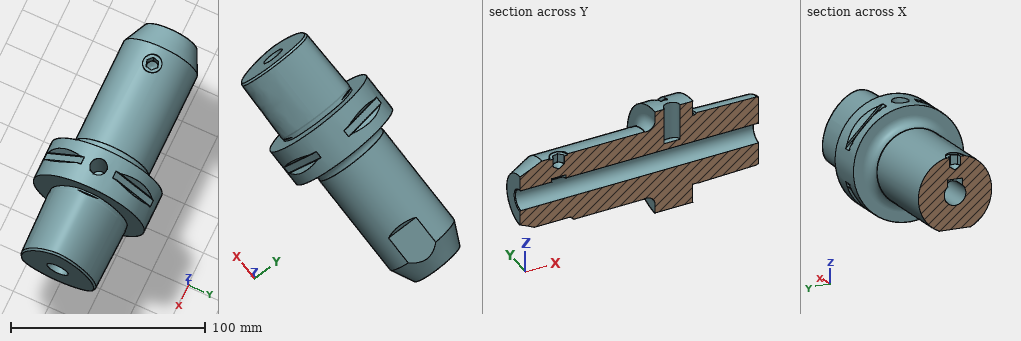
import cadquery as cq
import math

nose_cone_length = 12.6
body_length = 72.1
flange_start = 78.0
flange_width = 22.0
shank_length = 38.0
slot_plane_setback = 12.0
flange_end = flange_start + flange_width
slot_plane_x = flange_end - slot_plane_setback
total_length = flange_end + shank_length

nose_diameter = 30.0
body_diameter = 42.0
neck_diameter = 41.6
flange_diameter = 63.0
root_fillet_radius = 5.0

bore_diameter = 12.0
bore_mouth_diameter = 13.0

flat_z = -19.0
flat_end = 29.2

screw_x = 22.5
screw_diameter = 10.0
screw_head_z = 20.2
screw_tip_diameter = 8.1
screw_tip_z = 8.0
hex_sides = 6
hex_across_flats = 6.0
hex_rotation = 15.0
hex_depth = 5.0
hex_cone_height = 2.0

slot_count = 4
slot_floor_radius = 27.7
slot_floor_width = 4.0
slot_upright_height = 1.1
slot_rim_width = 7.9

chip_hole_diameter = 9.0
inner_core_diameter = 20.3

shank_mean_radius = 22.1
lobe_height = 1.6
lobe_count = 3
lobe_direction = 90.0
taper_slope = 1 / 40
shank_neck_inset = 0.2
shank_neck_length = 2.0
shank_shoulder_length = 0.8
end_chamfer_length = 1.2
end_chamfer_inset = 0.7
points_per_lobe = 13

relief_radius = 22.7
relief_length = 1.0
relief_flare = 1.0


def tube_x(start, end, diameter):
    """Cylinder along X between two stations."""
    return cq.Workplane("YZ", origin=(start, 0, 0)).circle(diameter / 2).extrude(end - start)


def turned_body():
    """Nose cone, cylindrical body, filleted neck and flange as one revolved profile."""
    neck_radius = neck_diameter / 2
    fillet_top_radius = neck_radius + root_fillet_radius
    fillet_start = flange_start - root_fillet_radius
    mid_offset = root_fillet_radius * math.sin(math.radians(45))
    fillet_mid = (fillet_start + mid_offset, fillet_top_radius - mid_offset)
    return (
        cq.Workplane("XY")
        .moveTo(0, 0)
        .lineTo(0, nose_diameter / 2)
        .lineTo(nose_cone_length, body_diameter / 2)
        .lineTo(body_length, body_diameter / 2)
        .lineTo(body_length, neck_radius)
        .lineTo(fillet_start, neck_radius)
        .threePointArc(fillet_mid, (flange_start, fillet_top_radius))
        .lineTo(flange_start, flange_diameter / 2)
        .lineTo(flange_end, flange_diameter / 2)
        .lineTo(flange_end, 0)
        .close()
        .revolve(360, (0, 0, 0), (1, 0, 0))
    )


def lobe_point(x, mean_radius, degrees):
    """Point of the constant-width lobed curve whose normal points at the given angle."""
    angle = math.radians(degrees)
    phase = lobe_count * math.radians(degrees - lobe_direction)
    support = mean_radius + lobe_height * math.cos(phase)
    slide = -lobe_count * lobe_height * math.sin(phase)
    y = support * math.cos(angle) - slide * math.sin(angle)
    z = support * math.sin(angle) + slide * math.cos(angle)
    return cq.Vector(x, y, z)


def lobe_section(x, inset):
    """Closed lobed wire at station x, one spline per lobe, joined midway between lobes."""
    lobe_span = 360 / lobe_count
    step = lobe_span / (points_per_lobe - 1)
    edges = []
    for lobe in range(lobe_count):
        first = lobe_direction - lobe_span / 2 + lobe * lobe_span
        angles = [first + i * step for i in range(points_per_lobe)]
        points = [lobe_point(x, shank_mean_radius - inset, a) for a in angles]
        tangents = [
            cq.Vector(0, -math.sin(math.radians(a)), math.cos(math.radians(a)))
            for a in (angles[0], angles[-1])
        ]
        edges.append(cq.Edge.makeSpline(points, tangents=tangents))
    return cq.Wire.assembleEdges(edges)


def lobe_relief():
    """Ring that trims the lobes to a cylinder beside the flange, flaring out at 45 degrees."""
    straight_end = flange_end + relief_length
    return (
        cq.Workplane("XY")
        .moveTo(flange_end, relief_radius)
        .lineTo(straight_end, relief_radius)
        .lineTo(straight_end + relief_flare, relief_radius + relief_flare)
        .lineTo(flange_end, relief_radius + relief_flare)
        .close()
        .revolve(360, (0, 0, 0), (1, 0, 0))
    )


def shank():
    """Tapered lobed shank with an inset neck, a shoulder, an end chamfer and a round relief."""
    neck_end = flange_end + shank_neck_length
    taper_start = neck_end + shank_shoulder_length
    taper_end = total_length - end_chamfer_length
    end_inset = (taper_end - taper_start) * taper_slope
    stations = [
        (flange_end, shank_neck_inset),
        (neck_end, shank_neck_inset),
        (taper_start, 0),
        (taper_end, end_inset),
        (total_length, end_inset + end_chamfer_inset),
    ]
    sections = [lobe_section(x, inset) for x, inset in stations]
    solid = cq.Workplane(cq.Solid.makeLoft(sections, True))
    return solid.cut(lobe_relief())


def through_bore():
    """Bore along the whole part with a 45 degree mouth at the nose."""
    mouth_depth = (bore_mouth_diameter - bore_diameter) / 2
    mouth = cq.Solid.makeCone(
        bore_mouth_diameter / 2,
        bore_diameter / 2,
        mouth_depth,
        pnt=cq.Vector(0, 0, 0),
        dir=cq.Vector(1, 0, 0),
    )
    return tube_x(0, total_length, bore_diameter).union(cq.Workplane(mouth))


def nose_flat():
    """Flat cut under the nose, ending in a 45 degree ramp."""
    drop = flange_diameter / 2 + flat_z
    return (
        cq.Workplane("XZ")
        .moveTo(0, flat_z)
        .lineTo(flat_end, flat_z)
        .lineTo(flat_end + drop, flat_z - drop)
        .lineTo(0, flat_z - drop)
        .close()
        .extrude(body_diameter / 2, both=True)
    )


def screw_cuts():
    """Recess above the screw head, hex socket with a conical floor, and the hole below the tip."""
    recess = (
        cq.Workplane("XY", origin=(screw_x, 0, screw_head_z))
        .circle(screw_diameter / 2)
        .extrude(body_diameter / 2 - screw_head_z)
    )
    hex_corner_diameter = hex_across_flats / math.cos(math.pi / hex_sides)
    socket_floor_z = screw_head_z - hex_depth
    socket = (
        cq.Workplane("XY", origin=(screw_x, 0, socket_floor_z))
        .transformed(rotate=(0, 0, hex_rotation))
        .polygon(hex_sides, hex_corner_diameter)
        .extrude(hex_depth)
    )
    floor_cone = cq.Solid.makeCone(
        hex_across_flats / 2,
        0,
        hex_cone_height,
        pnt=cq.Vector(screw_x, 0, socket_floor_z),
        dir=cq.Vector(0, 0, -1),
    )
    tip_hole = (
        cq.Workplane("XY", origin=(screw_x, 0, 0))
        .circle(screw_tip_diameter / 2)
        .extrude(screw_tip_z)
    )
    return recess.union(socket).union(cq.Workplane(floor_cone)).union(tip_hole)


def gripper_slots():
    """Slots between the axes around the flange, with walls that rise upright, then slope outward."""
    rim_radius = flange_diameter / 2
    slope_start_radius = slot_floor_radius + slot_upright_height
    floor_left = slot_plane_x - slot_floor_width / 2
    floor_right = slot_plane_x + slot_floor_width / 2
    slot = (
        cq.Workplane("XZ")
        .moveTo(floor_left, slot_floor_radius)
        .lineTo(floor_right, slot_floor_radius)
        .lineTo(floor_right, slope_start_radius)
        .lineTo(slot_plane_x + slot_rim_width / 2, rim_radius)
        .lineTo(slot_plane_x - slot_rim_width / 2, rim_radius)
        .lineTo(floor_left, slope_start_radius)
        .close()
        .extrude(rim_radius, both=True)
    )
    pitch = 360 / slot_count
    slots = cq.Workplane("XY")
    for index in range(slot_count):
        turn = (index + 0.5) * pitch
        slots = slots.add(slot.rotate((0, 0, 0), (1, 0, 0), turn))
    return slots.combine()


def chip_hole():
    """Radial hole from the top of the flange down to the round inner core."""
    hole = (
        cq.Workplane("XY", origin=(slot_plane_x, 0, 0))
        .circle(chip_hole_diameter / 2)
        .extrude(flange_diameter / 2)
    )
    return hole.cut(tube_x(flange_start, flange_end, inner_core_diameter))


result = (
    turned_body()
    .union(shank())
    .cut(through_bore())
    .cut(nose_flat())
    .cut(screw_cuts())
    .cut(gripper_slots())
    .cut(chip_hole())
)